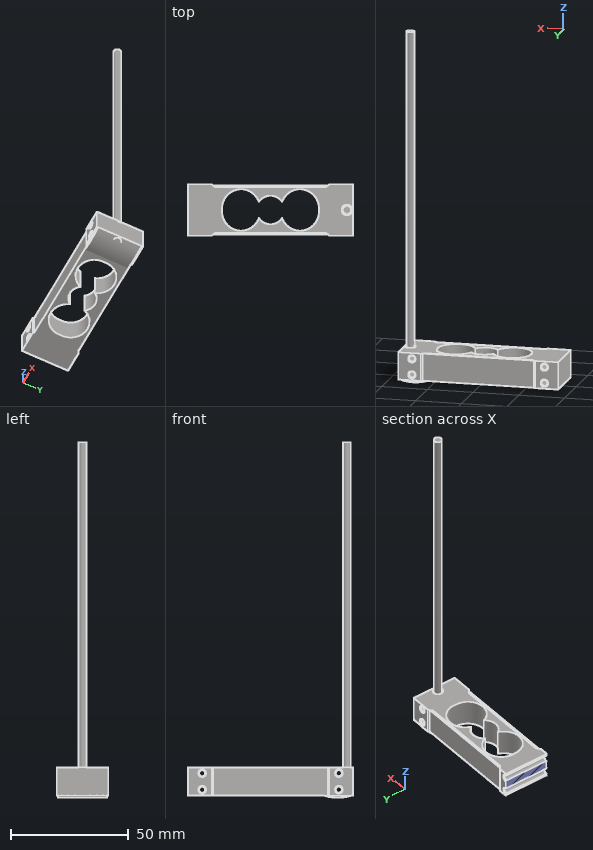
import cadquery as cq

beam_length = 70.0
beam_width = 22.0
beam_height = 12.0

recess_end_margin = 10.0
recess_depth = 0.55
end_slope = 0.81
ledge_depth = 1.4
ledge_drop = 0.1

opening_spacing = 25.0
opening_width = 16.0
opening_length = 17.5
center_opening_diameter = 12.0

mount_hole_diameter = 2.5
mount_countersink = 0.4
mount_hole_inset = 6.0
mount_hole_pitch = 7.0

bead_inset = 6.5
bead_x = beam_length / 2 - bead_inset
bead_chord = 12.0
bead_rise = 1.0
bead_length = 20.8

cable_diameter = 3.5
cable_inset = 2.6
cable_x = beam_length / 2 - cable_inset
cable_countersink = 0.5
overall_height = 151.0
cable_top = overall_height - bead_rise


def side_recess(depth, bottom, side):
    """Trapezoid with sloped ends, cut into the side at Y = side * beam_width / 2."""
    half_length = beam_length / 2 - recess_end_margin
    half_floor = half_length - depth / end_slope
    outer_y = side * beam_width / 2
    floor_y = side * (beam_width / 2 - depth)
    return (
        cq.Workplane("XY", origin=(0, 0, bottom))
        .polyline([
            (-half_length, outer_y),
            (half_length, outer_y),
            (half_floor, floor_y),
            (-half_floor, floor_y),
        ])
        .close()
        .extrude(beam_height - bottom)
    )


def flexure_cutout():
    center = cq.Workplane("XY").circle(center_opening_diameter / 2).extrude(beam_height)
    openings = (
        cq.Workplane("XY")
        .pushPoints([(-opening_spacing / 2, 0), (opening_spacing / 2, 0)])
        .slot2D(opening_length, opening_width, 90)
        .extrude(beam_height)
    )
    return center.union(openings)


def countersunk_hole(diameter, length, countersink):
    """Cutter along +Z from the origin, widened by a 45 degree cone at its far end."""
    radius = diameter / 2
    shaft = cq.Workplane("XY").circle(radius).extrude(length)
    cone_base = cq.Vector(0, 0, length - countersink)
    cone = cq.Solid.makeCone(radius, radius + countersink, countersink, cone_base)
    return shaft.union(cq.Workplane(cone))


def mounting_hole(x, z):
    """Hole through the beam along Y, countersunk on both sides."""
    half = countersunk_hole(mount_hole_diameter, beam_width / 2, mount_countersink)
    hole = half.union(half.mirror("XY"))
    return hole.rotate((0, 0, 0), (1, 0, 0), 90).translate((x, 0, z))


def sealant_bead():
    """Circular segment hanging below the beam, running along Y."""
    return (
        cq.Workplane("XZ", origin=(bead_x, bead_length / 2, 0))
        .moveTo(-bead_chord / 2, 0)
        .threePointArc((0, -bead_rise), (bead_chord / 2, 0))
        .close()
        .extrude(bead_length)
    )


def make_beam():
    beam = cq.Workplane("XY").box(beam_length, beam_width, beam_height, centered=(True, True, False))
    for side in (-1, 1):
        beam = beam.cut(side_recess(recess_depth, 0, side))
        beam = beam.cut(side_recess(ledge_depth, beam_height - ledge_drop, side))
    beam = beam.cut(flexure_cutout())
    hole_x = beam_length / 2 - mount_hole_inset
    for x in (-hole_x, hole_x):
        for z_offset in (-mount_hole_pitch / 2, mount_hole_pitch / 2):
            beam = beam.cut(mounting_hole(x, beam_height / 2 + z_offset))
    cable_hole = countersunk_hole(cable_diameter, beam_height, cable_countersink)
    beam = beam.cut(cable_hole.translate((cable_x, 0, 0)))
    return beam.union(sealant_bead())


def make_cable():
    return cq.Workplane("XY", origin=(cable_x, 0, 0)).circle(cable_diameter / 2).extrude(cable_top)


beam = make_beam()
cable = make_cable()

result = cq.Compound.makeCompound([beam.val(), cable.val()])